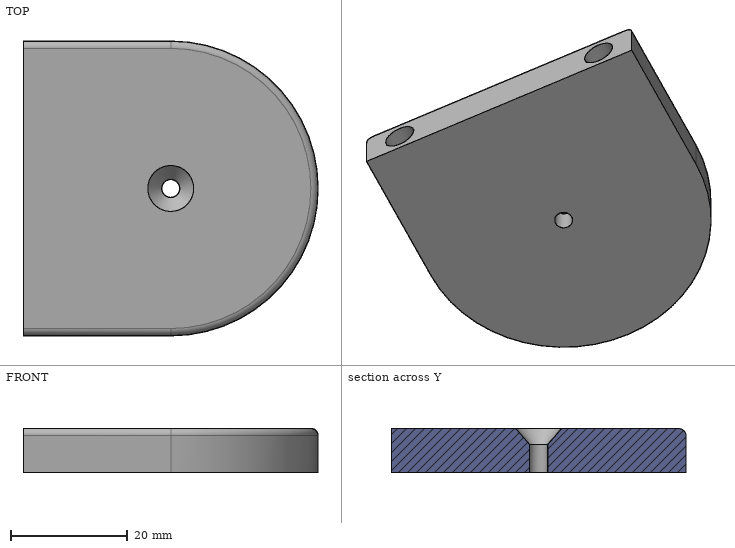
import cadquery as cq

width = 50.8
thickness = 7.62
edge_fillet = 1.27

screw_hole_diameter = 3.05
countersink_diameter = 7.9
countersink_angle = 82.0

pin_hole_diameter = 5.33
pin_hole_spacing = 38.1
pin_hole_depth = 12.7

end_radius = width / 2
flat_end_x = -end_radius
pin_hole_z = thickness / 2


def make_plate():
    """D-shaped plate: a flat end at -X and a full half round at +X."""
    outline = (
        cq.Workplane("XY")
        .moveTo(flat_end_x, -end_radius)
        .lineTo(0, -end_radius)
        .threePointArc((end_radius, 0), (0, end_radius))
        .lineTo(flat_end_x, end_radius)
        .close()
    )
    return outline.extrude(thickness)


def round_top_rim(plate):
    """Fillet the top side edges and the top arc, leaving the flat end sharp."""
    return plate.faces(">Z").edges("not <X").fillet(edge_fillet)


def cut_screw_hole(plate):
    """Countersunk through hole at the centre of the round end."""
    return (
        plate.faces(">Z")
        .workplane(origin=(0, 0, thickness))
        .cskHole(screw_hole_diameter, countersink_diameter, countersink_angle)
    )


def cut_pin_holes(plate):
    """Blind holes running in +X from the flat end."""
    for side in (-1, 1):
        start = cq.Vector(flat_end_x, side * pin_hole_spacing / 2, pin_hole_z)
        hole = cq.Solid.makeCylinder(
            pin_hole_diameter / 2, pin_hole_depth, start, cq.Vector(1, 0, 0)
        )
        plate = plate.cut(cq.Workplane(hole))
    return plate


result = cut_pin_holes(cut_screw_hole(round_top_rim(make_plate())))